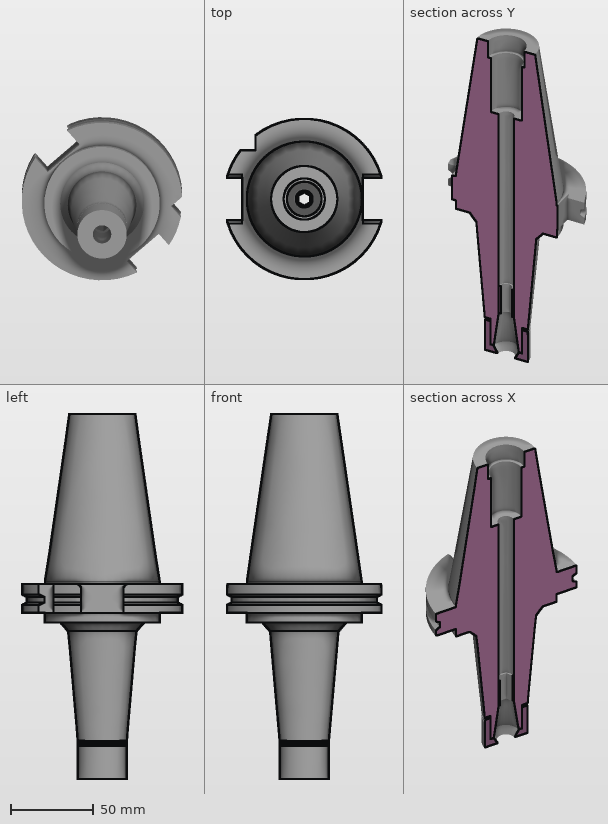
import cadquery as cq
import math


gauge_radius = 69.85 / 2
shank_length = 101.75
taper_ratio = 7 / 24
shank_end_radius = gauge_radius - shank_length * taper_ratio / 2

flange_radius = 97.5 / 2
flange_top_z = -1.5
flange_bottom_z = -19.1
groove_center_z = -11.1
groove_floor_radius = 46.0
groove_mouth_half_width = 3.3
groove_half_angle = 30
groove_floor_half_width = groove_mouth_half_width - (
    flange_radius - groove_floor_radius
) * math.tan(math.radians(groove_half_angle))

slot_width = 25.7
slot_chamfer = 2.0
left_slot_floor = 37.7
right_slot_floor = 35.5
notch_corner = 29.7

collar_radius = 70 / 2
collar_bottom_z = -25.0
shoulder_radius = 25.4
shoulder_bottom_z = -30.2
tool_end_z = -120.0
nose_tip_radius = 30 / 2
nose_tip_z = -96.8
nose_half_angle = 5
nose_top_radius = nose_tip_radius + (shoulder_bottom_z - nose_tip_z) * math.tan(
    math.radians(nose_half_angle)
)
thread_radius = 22 / 2

mouth_bore_radius = 25 / 2
mouth_bore_depth = 11.5
thread_bore_radius = 21 / 2
thread_bore_depth = 50.0
passage_radius = 10.2 / 2

seat_radius = 17 / 2
seat_half_angle = 8
nose_end_z = -115.0
seat_back_z = nose_end_z + (seat_radius - passage_radius) / math.tan(
    math.radians(seat_half_angle)
)

screw_length = 20.0
screw_chamfer = 0.5
screw_hex_across_flats = 7.2

nut_radius = nose_tip_radius
nut_top_z = -98.0
nut_groove_top_z = -99.3
nut_groove_width = 0.7
nut_groove_depth = 0.2
nut_cone_half_angle = 30
nut_opening_radius = seat_radius - (nose_end_z - tool_end_z) * math.tan(
    math.radians(nut_cone_half_angle)
)


def revolved(profile):
    """Turn an (r, z) outline about the Z axis."""
    return cq.Workplane("XZ").polyline(profile).close().revolve(360, (0, 0), (0, 1))


def make_holder_blank():
    return revolved([
        (passage_radius, shank_length - thread_bore_depth),
        (thread_bore_radius, shank_length - thread_bore_depth),
        (thread_bore_radius, shank_length - mouth_bore_depth),
        (mouth_bore_radius, shank_length - mouth_bore_depth),
        (mouth_bore_radius, shank_length),
        (shank_end_radius, shank_length),
        (gauge_radius, 0),
        (gauge_radius, flange_top_z),
        (flange_radius, flange_top_z),
        (flange_radius, groove_center_z + groove_mouth_half_width),
        (groove_floor_radius, groove_center_z + groove_floor_half_width),
        (groove_floor_radius, groove_center_z - groove_floor_half_width),
        (flange_radius, groove_center_z - groove_mouth_half_width),
        (flange_radius, flange_bottom_z),
        (collar_radius, flange_bottom_z),
        (collar_radius, collar_bottom_z),
        (shoulder_radius, collar_bottom_z),
        (nose_top_radius, shoulder_bottom_z),
        (nose_tip_radius, nose_tip_z),
        (thread_radius, nose_tip_z),
        (thread_radius, nose_end_z),
        (seat_radius, nose_end_z),
        (passage_radius, seat_back_z),
    ])


def drive_slot(floor_x, side):
    """Cutter for one drive slot, chamfered at its top edges; side is -1 or +1 along X."""
    half_width = slot_width / 2
    chamfered_half_width = half_width + slot_chamfer
    chamfer_bottom_z = flange_top_z - slot_chamfer
    outline = [
        (-half_width, flange_bottom_z),
        (half_width, flange_bottom_z),
        (half_width, chamfer_bottom_z),
        (chamfered_half_width, flange_top_z),
        (-chamfered_half_width, flange_top_z),
        (-half_width, chamfer_bottom_z),
    ]
    return (
        cq.Workplane("YZ", origin=(side * floor_x, 0, 0))
        .polyline(outline).close()
        .extrude(side * flange_radius)
    )


def orientation_notch():
    """Cutter for the square-cornered notch through the flange at -X, +Y."""
    flange_thickness = flange_top_z - flange_bottom_z
    return cq.Workplane("XY").box(
        flange_radius, flange_radius, flange_thickness, centered=False
    ).translate((-notch_corner - flange_radius, notch_corner, flange_bottom_z))


def make_holder():
    return (
        make_holder_blank()
        .cut(drive_slot(left_slot_floor, -1))
        .cut(drive_slot(right_slot_floor, 1))
        .cut(orientation_notch())
    )


def make_nut():
    groove_bottom_z = nut_groove_top_z - nut_groove_width
    return revolved([
        (thread_radius, nut_top_z),
        (nut_radius, nut_top_z),
        (nut_radius, nut_groove_top_z),
        (nut_radius - nut_groove_depth, nut_groove_top_z),
        (nut_radius - nut_groove_depth, groove_bottom_z),
        (nut_radius, groove_bottom_z),
        (nut_radius, tool_end_z),
        (nut_opening_radius, tool_end_z),
        (seat_radius, nose_end_z),
        (thread_radius, nose_end_z),
    ])


def make_stop_screw():
    hex_across_corners = screw_hex_across_flats / math.cos(math.radians(30))
    hex_key_hole = (
        cq.Workplane("XY", origin=(0, 0, seat_back_z))
        .transformed(rotate=(0, 0, 90))
        .polygon(6, hex_across_corners)
        .extrude(screw_length)
    )
    return (
        cq.Workplane("XY", origin=(0, 0, seat_back_z))
        .circle(passage_radius)
        .extrude(screw_length)
        .faces(">Z").chamfer(screw_chamfer)
        .cut(hex_key_hole)
    )


holder = make_holder()
nut = make_nut()
stop_screw = make_stop_screw()

result = cq.Compound.makeCompound([holder.val(), nut.val(), stop_screw.val()])